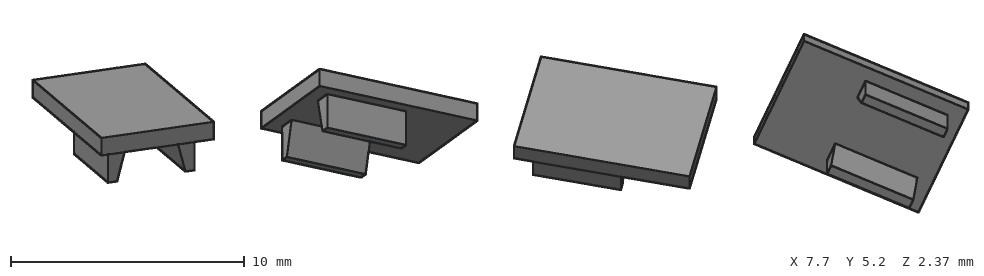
import cadquery as cq

plate_length = 7.7
plate_width = 5.2
plate_thickness = 0.8
overall_height = 2.37

leg_length = 3.85
leg_end_margin = 0.7
leg_span = 4.0
leg_root_thickness = 0.84
leg_tip_thickness = 0.42

leg_height = overall_height - plate_thickness
leg_start_x = plate_length / 2 - leg_end_margin - leg_length
leg_outer_y = leg_span / 2


def make_plate():
    """Flat plate centred in X and Y, with its underside at Z = 0."""
    return cq.Workplane("XY").box(
        plate_length, plate_width, plate_thickness, centered=(True, True, False)
    )


def make_leg(side):
    """Leg on the given Y side (+1 or -1): upright outer face, sloping inner face."""
    profile = [
        (side * leg_outer_y, 0),
        (side * leg_outer_y, -leg_height),
        (side * (leg_outer_y - leg_tip_thickness), -leg_height),
        (side * (leg_outer_y - leg_root_thickness), 0),
    ]
    return (
        cq.Workplane("YZ", origin=(leg_start_x, 0, 0))
        .polyline(profile)
        .close()
        .extrude(leg_length)
    )


result = make_plate()
for leg_side in (-1, 1):
    result = result.union(make_leg(leg_side))